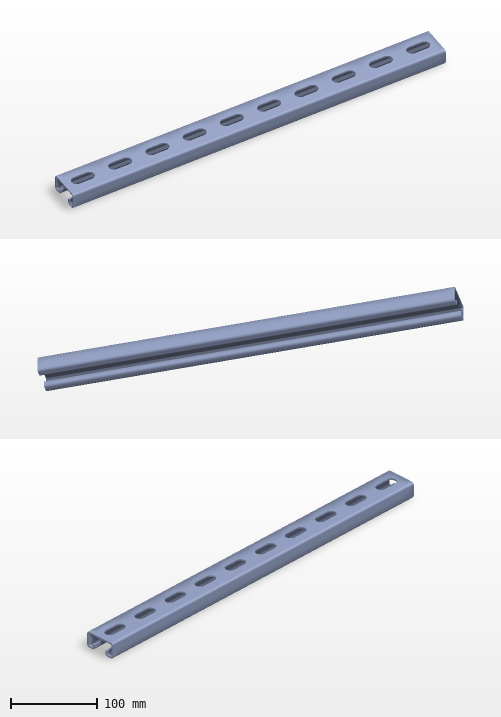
import cadquery as cq
import math

length = 500.0
width = 41.0
height = 21.0
sheet = 2.0
bend_outer = 3.0
bend_inner = bend_outer - sheet

mouth_width = 18.0
lip_height = 7.0

slot_count = 10
slot_pitch = length / slot_count
slot_length = 30.0
slot_width = 13.0


def box_between(x_min, x_max, z_min, z_max):
    """Full-length bar filling the given X and Z ranges."""
    return cq.Workplane("XY").box(x_max - x_min, length, z_max - z_min).translate(
        ((x_min + x_max) / 2, 0, (z_min + z_max) / 2)
    )


def rounded_tube():
    """Closed tube with concentric bends at its four corners."""
    outside = box_between(-width / 2, width / 2, 0, height).edges("|Y").fillet(bend_outer)
    inside = box_between(-width / 2 + sheet, width / 2 - sheet, sheet, height - sheet)
    return outside.cut(inside.edges("|Y").fillet(bend_inner))


def right_lip():
    """Upturned lip at the mouth, with its bend from the flange."""
    lip_inner = mouth_width / 2
    bend_x = lip_inner + bend_outer
    bend_z = bend_outer

    def bend_middle(radius):
        offset = radius * math.sqrt(0.5)
        return bend_x - offset, bend_z - offset

    return (
        cq.Workplane("XZ")
        .moveTo(bend_x, 0)
        .threePointArc(bend_middle(bend_outer), (lip_inner, bend_z))
        .lineTo(lip_inner, lip_height)
        .lineTo(lip_inner + sheet, lip_height)
        .lineTo(lip_inner + sheet, bend_z)
        .threePointArc(bend_middle(bend_inner), (bend_x, sheet))
        .close()
        .extrude(length / 2, both=True)
    )


def web_slots():
    """Cutters for the evenly spaced slots, long side along Y."""
    return (
        cq.Workplane("XY")
        .workplane(offset=height - 2 * sheet)
        .rarray(5, slot_pitch, 1, slot_count)
        .slot2D(slot_length, slot_width, 90)
        .extrude(3 * sheet)
    )


mouth_half = mouth_width / 2 + bend_outer
channel = rounded_tube().cut(box_between(-mouth_half, mouth_half, -sheet, 2 * sheet))
lip = right_lip()
channel = channel.union(lip).union(lip.mirror("YZ"))

result = channel.cut(web_slots())